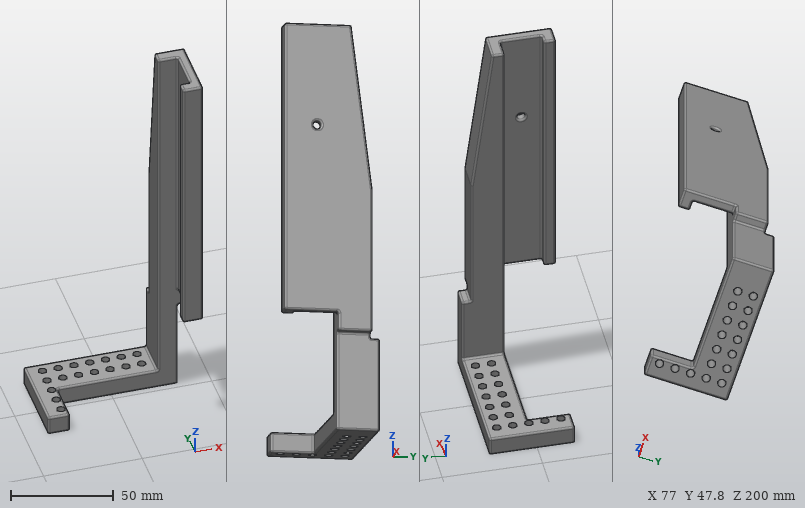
import cadquery as cq

length = 77.0
width = 47.8
height = 200

foot_thickness = 10
foot_length = 72
bar_depth = 21.2
toe_width = 11.0
toe_length = 42.5
bar_front = width - bar_depth

post_left = 62
post_back = 43.2
back_step_height = 45.8
overhang_height = 48.5
taper_start = 119.2
taper_top_y = 32.8

web_thickness = 5.0
channel_bottom = 57.8
lip_length = 10
lip_depth = 5.8
web_left = length - web_thickness

hole_diameter = 4
hole_pitch = 8
first_hole_x = 8
first_hole_y = 42.5
bar_columns = 7
bar_rows = 2
toe_rows = 3
web_hole_y = 16
web_hole_z = 150

edge_radius = 1.0


def box(x_range, y_range, z_range):
    """Box spanning the given (low, high) range along each axis."""
    (x0, x1), (y0, y1), (z0, z1) = x_range, y_range, z_range
    return cq.Workplane("XY", origin=(x0, y0, z0)).box(x1 - x0, y1 - y0, z1 - z0, centered=False)


def make_foot():
    thickness = (0, foot_thickness)
    bar = box((0, foot_length), (bar_front, width), thickness)
    toe = box((0, toe_width), (width - toe_length, width), thickness)
    return bar.union(toe)


def make_post():
    """Post with a stepped, tapered back, narrowed below the overhang."""
    side_profile = [
        (bar_front, 0),
        (width, 0),
        (width, back_step_height),
        (post_back, back_step_height),
        (post_back, taper_start),
        (taper_top_y, height),
        (bar_front, height),
    ]
    post = (
        cq.Workplane("YZ", origin=(post_left, 0, 0))
        .polyline(side_profile)
        .close()
        .extrude(length - post_left)
    )
    undercut = box((foot_length, length), (0, width), (0, overhang_height))
    return post.cut(undercut)


def make_channel():
    """Thin web running forward from the post, ending in an inward lip."""
    z_range = (channel_bottom, height)
    web = box((web_left, length), (0, bar_front), z_range)
    lip = box((length - lip_length, length), (0, lip_depth), z_range)
    return web.union(lip)


def make_web_hole():
    return (
        cq.Workplane("YZ", origin=(web_left, web_hole_y, web_hole_z))
        .circle(hole_diameter / 2)
        .extrude(web_thickness)
    )


def make_foot_holes():
    """Grid of holes along the bar, with the first column continued down the toe."""
    centers = []
    for column in range(bar_columns):
        rows = bar_rows + toe_rows if column == 0 else bar_rows
        for row in range(rows):
            centers.append((first_hole_x + column * hole_pitch, first_hole_y - row * hole_pitch))
    return cq.Workplane("XY").pushPoints(centers).circle(hole_diameter / 2).extrude(foot_thickness)


bracket = make_foot().union(make_post()).union(make_channel()).cut(make_web_hole()).clean()
rounded_bracket = bracket.edges().fillet(edge_radius)
result = rounded_bracket.cut(make_foot_holes())